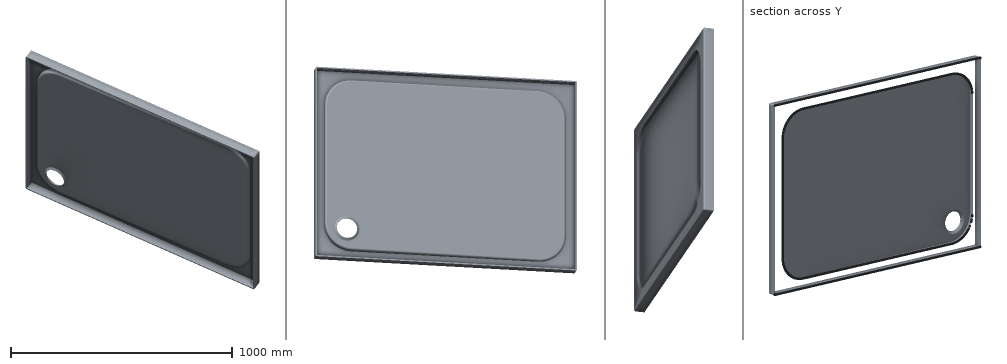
import cadquery as cq

length = 1200.0
depth = 48.0
height = 900.0
sheet = 6.0
edge_round = 6.0

basin_margin = 45.0
basin_radius = 125.0
drop_at_drain_end = 24.0
drop_at_far_end = 12.0
basin_draft = 2.0
floor_round = 8.0

drain_offset = 146.0
drain_foot_diameter = 115.0
drain_hole_diameter = 94.0
drain_lip = 1.0
drain_drop = 7.0

deck_top = depth / 2
deck_underside = deck_top - sheet
basin_half_length = length / 2 - basin_margin
floor_slope = (drop_at_drain_end - drop_at_far_end) / (2 * basin_half_length)
drain_x = -length / 2 + drain_offset
drain_z = -height / 2 + drain_offset
drain_axis = cq.Vector(floor_slope, -1, 0)


def facing_down(y):
    """Workplane at the given Y whose normal points toward -Y."""
    return cq.Workplane("XZ", origin=(0, y, 0))


def basin_outline(y, inset):
    """Closed rounded-rectangle wire of the basin at the given Y, shrunk by inset."""
    half_x = basin_half_length - inset
    half_z = height / 2 - basin_margin - inset
    radius = basin_radius - inset
    block = facing_down(y).rect(2 * half_x, 2 * half_z).extrude(depth).edges("|Y").fillet(radius)
    return block.faces(">Y").wires().val()


def floor_level(x):
    """Y of the sloping basin underside at the given X."""
    return deck_underside - drop_at_drain_end + floor_slope * (x + basin_half_length)


def basin_form(start, extra_inset, floor_lift, rounding):
    """Basin-shaped solid with drafted walls, a sloping floor and a rounded floor edge."""
    foot = basin_outline(start, extra_inset)
    tip = basin_outline(floor_level(-length / 2), extra_inset + basin_draft)
    walls = cq.Workplane(cq.Solid.makeLoft([foot, tip], True))
    left = -length / 2
    right = length / 2
    above_floor = (
        cq.Workplane("XY")
        .polyline([
            (left, floor_level(left) + floor_lift),
            (right, floor_level(right) + floor_lift),
            (right, deck_top),
            (left, deck_top),
        ])
        .close()
        .extrude(height / 2, both=True)
    )
    return walls.intersect(above_floor).faces("<Y").edges().fillet(rounding)


def drain_cone(lift, foot_diameter, tip_diameter):
    """Cone square to the sloping floor, based at lift above the basin underside."""
    base = cq.Vector(drain_x, floor_level(drain_x) + lift, drain_z)
    return cq.Workplane(
        cq.Solid.makeCone(foot_diameter / 2, tip_diameter / 2, drain_drop, base, drain_axis)
    )


tray = cq.Workplane("XY").box(length, depth, height)
tray = tray.edges("|Y").fillet(edge_round).faces(">Y").edges().fillet(edge_round)
cavity = (
    facing_down(deck_underside)
    .rect(length - 2 * sheet, height - 2 * sheet)
    .extrude(depth)
)
tray = tray.cut(cavity)

tray = tray.union(basin_form(deck_underside, 0, 0, floor_round))
tray = tray.cut(basin_form(deck_top, sheet, sheet, floor_round - sheet))

collar_tip_diameter = drain_hole_diameter + 2 * drain_lip
dish_diameter = drain_foot_diameter - 2 * drain_lip
tray = tray.union(drain_cone(0, drain_foot_diameter, collar_tip_diameter))
tray = tray.cut(drain_cone(sheet, dish_diameter, drain_hole_diameter))

drain_hole = cq.Solid.makeCylinder(
    drain_hole_diameter / 2,
    2 * depth,
    cq.Vector(drain_x, floor_level(drain_x), drain_z) - drain_axis * depth,
    drain_axis,
)
result = cq.Workplane(tray.cut(cq.Workplane(drain_hole)).solids().val())